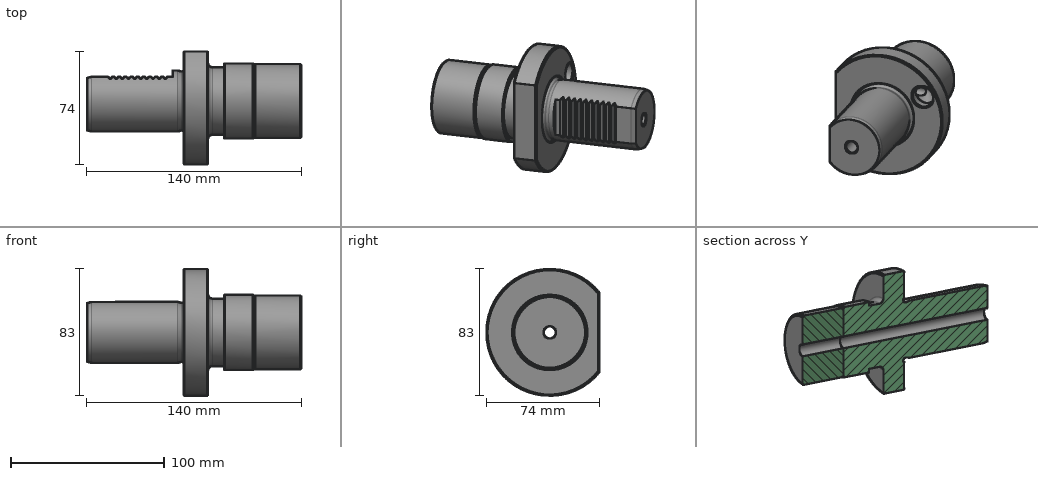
import cadquery as cq
import math


total_length = 140.0
flange_back = 62.9
flange_width = 16.1
flange_front = flange_back + flange_width

shank_radius = 20.0
shank_end_chamfer_length = 3.0
shank_end_chamfer_height = 0.8
shank_flat_offset = 16.0
shank_flat_length = 55.7

tooth_count = 10
tooth_pitch = 4.0
tooth_depth = 1.5
first_tooth_x = 15.0

undercut_radius = 19.3
undercut_taper_start = 59.1
undercut_taper_end = 61.5
undercut_fillet = 1.7
recess_depth = 0.7
recess_radius = 21.4
recess_chamfer = 0.7

flange_radius = 41.5
flange_flat_offset = 32.5
flange_chamfer = 0.8

neck_radius = 22.1
neck_fillet = 2.8
collar_radius = 24.6
collar_start = 89.5
collar_end = 108.5
collar_chamfer = 0.4

spigot_radius = 23.8
cap_start = 109.2
cap_radius = 24.2
cap_back_chamfer_length = 0.8
cap_front_chamfer = 1.1

bore_radius = 3.9
bore_chamfer = 0.5

inlet_y = -27.9
inlet_z = 16.0
inlet_radius = 7.0
inlet_chamfer = 0.7
inlet_depth = 7.7
drill_tip_angle = 118.0
branch_radius = 2.8
branch_offset = 4.8
branch_length = 8.4
branch_slope = 75.0


def revolve_about_x(profile):
    """Turn a closed profile, drawn as (x, radius), around the X axis."""
    return profile.close().revolve(360, (0, 0, 0), (1, 0, 0))


def make_shank():
    recess_floor = flange_back + recess_depth
    fillet_start = recess_floor - undercut_fillet
    fillet_bend = undercut_fillet * (1 - math.sqrt(0.5))
    profile = (
        cq.Workplane("XY")
        .lineTo(0, shank_radius - shank_end_chamfer_height)
        .lineTo(shank_end_chamfer_length, shank_radius)
        .lineTo(undercut_taper_start, shank_radius)
        .lineTo(undercut_taper_end, undercut_radius)
        .lineTo(fillet_start, undercut_radius)
        .threePointArc(
            (recess_floor - fillet_bend, undercut_radius + fillet_bend),
            (recess_floor, undercut_radius + undercut_fillet),
        )
        .lineTo(recess_floor, 0)
    )
    return revolve_about_x(profile).cut(make_shank_flat()).cut(make_flat_bevel()).cut(make_teeth())


def make_shank_flat():
    """Block removed from the +Y side of the shank."""
    return cq.Workplane("XY").box(
        shank_flat_length, shank_radius, 2 * shank_radius, centered=(False, False, True)
    ).translate((0, shank_flat_offset, 0))


def make_flat_bevel():
    """Wedge that carries the bevel at the free end of the shank across the flat."""
    return (
        cq.Workplane("XY")
        .moveTo(0, shank_flat_offset - shank_end_chamfer_height)
        .lineTo(0, shank_flat_offset)
        .lineTo(shank_end_chamfer_length, shank_flat_offset)
        .close()
        .extrude(shank_radius, both=True)
    )


def make_teeth():
    """V-shaped notches with 90 degree flanks, running across the shank flat along Z."""
    notch = (
        cq.Workplane("XY")
        .moveTo(-tooth_depth, shank_flat_offset)
        .lineTo(0, shank_flat_offset - tooth_depth)
        .lineTo(tooth_depth, shank_flat_offset)
        .close()
        .extrude(shank_radius, both=True)
    )
    teeth = cq.Workplane("XY")
    for index in range(tooth_count):
        teeth = teeth.add(notch.translate((first_tooth_x + index * tooth_pitch, 0, 0)))
    return teeth.combine()


def make_flange():
    disc = cq.Workplane("YZ", origin=(flange_back, 0, 0)).circle(flange_radius).extrude(flange_width)
    beyond_flat = cq.Workplane("XY").box(
        flange_width, flange_radius, 2 * flange_radius, centered=(False, False, True)
    ).translate((flange_back, flange_flat_offset, 0))
    flange = disc.cut(beyond_flat)
    flange = flange.faces("<X or >X").edges().chamfer(flange_chamfer)
    recess_mouth = recess_radius + recess_chamfer
    recess = revolve_about_x(
        cq.Workplane("XY")
        .moveTo(flange_back, 0)
        .lineTo(flange_back, recess_mouth)
        .lineTo(flange_back + recess_depth, recess_mouth - recess_chamfer)
        .lineTo(flange_back + recess_depth, 0)
    )
    return flange.cut(recess)


def make_neck_and_collar():
    fillet_bend = neck_fillet * (1 - math.sqrt(0.5))
    profile = (
        cq.Workplane("XY")
        .moveTo(flange_front, 0)
        .lineTo(flange_front, neck_radius + neck_fillet)
        .threePointArc(
            (flange_front + fillet_bend, neck_radius + fillet_bend),
            (flange_front + neck_fillet, neck_radius),
        )
        .lineTo(collar_start, neck_radius)
        .lineTo(collar_start, collar_radius - collar_chamfer)
        .lineTo(collar_start + collar_chamfer, collar_radius)
        .lineTo(collar_end - collar_chamfer, collar_radius)
        .lineTo(collar_end, collar_radius - collar_chamfer)
        .lineTo(collar_end, spigot_radius)
        .lineTo(cap_start, spigot_radius)
        .lineTo(cap_start, 0)
    )
    return revolve_about_x(profile)


def make_bore():
    """Through bore, chamfered where it opens at the end of the shank."""
    return revolve_about_x(
        cq.Workplane("XY")
        .lineTo(0, bore_radius + bore_chamfer)
        .lineTo(bore_chamfer, bore_radius)
        .lineTo(total_length, bore_radius)
        .lineTo(total_length, 0)
    )


def make_coolant_inlet():
    """Drilled hole with a conical end, and a blind branch running inward from that cone."""
    tip_height = inlet_radius / math.tan(math.radians(drill_tip_angle / 2))
    drilled = revolve_about_x(
        cq.Workplane("XY")
        .lineTo(0, inlet_radius + inlet_chamfer)
        .lineTo(inlet_chamfer, inlet_radius)
        .lineTo(inlet_depth, inlet_radius)
        .lineTo(inlet_depth + tip_height, 0)
    )
    cone_share = 1 - branch_offset / inlet_radius
    branch_start = cq.Vector(inlet_depth + tip_height * cone_share, branch_offset, 0)
    slope = math.radians(branch_slope)
    direction = cq.Vector(math.cos(slope), math.sin(slope), 0)
    branch = cq.Solid.makeCylinder(
        branch_radius, branch_length + branch_radius, branch_start - direction * branch_radius, direction
    )
    return drilled.union(cq.Workplane(branch)).translate((flange_back, inlet_y, inlet_z))


def make_holder():
    holder = make_shank().union(make_flange()).union(make_neck_and_collar())
    return holder.cut(make_bore()).cut(make_coolant_inlet())


def make_cap():
    profile = (
        cq.Workplane("XY")
        .moveTo(cap_start, 0)
        .lineTo(cap_start, spigot_radius)
        .lineTo(cap_start + cap_back_chamfer_length, cap_radius)
        .lineTo(total_length - cap_front_chamfer, cap_radius)
        .lineTo(total_length, cap_radius - cap_front_chamfer)
        .lineTo(total_length, 0)
    )
    return revolve_about_x(profile).cut(make_bore())


holder = make_holder()
cap = make_cap()

result = cq.Compound.makeCompound([holder.val(), cap.val()])